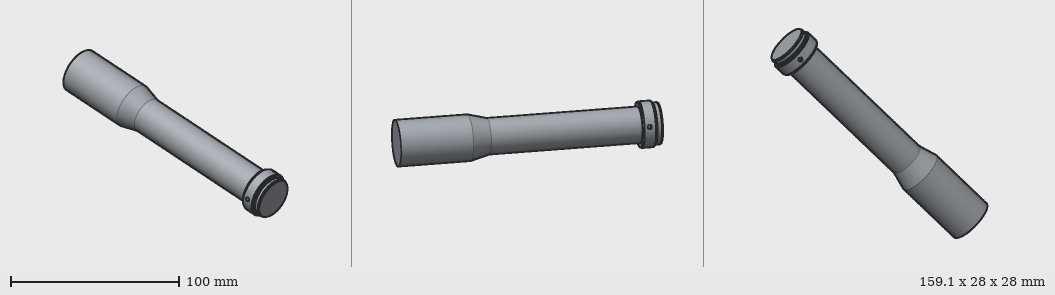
import cadquery as cq

total_length = 159.1
handle_length = 43.8
taper_length = 11.5
collar_start = 146.7
collar_width = 8.1
neck_width = 1.0

handle_radius = 14.0
tube_radius = 11.0
collar_radius = handle_radius
neck_radius = 12.3
end_ring_radius = 12.7

collar_front_chamfer = 1.0
collar_back_chamfer = 0.5
end_ring_chamfer = 1.0
chamfer_depth = 0.5

hole_diameter = 2.5
hole_count = 3
hole_start_angle = 45.0
hole_x = collar_start + collar_width / 2
hole_floor_radius = tube_radius

taper_end = handle_length + taper_length
collar_end = collar_start + collar_width
end_ring_start = collar_end + neck_width


def turned_body():
    """Half profile revolved about the X axis."""
    profile = [
        (0, 0),
        (0, handle_radius),
        (handle_length, handle_radius),
        (taper_end, tube_radius),
        (collar_start, tube_radius),
        (collar_start, collar_radius - chamfer_depth),
        (collar_start + collar_front_chamfer, collar_radius),
        (collar_end - collar_back_chamfer, collar_radius),
        (collar_end, collar_radius - chamfer_depth),
        (collar_end, neck_radius),
        (end_ring_start, neck_radius),
        (end_ring_start, end_ring_radius),
        (total_length - end_ring_chamfer, end_ring_radius),
        (total_length, end_ring_radius - chamfer_depth),
        (total_length, 0),
    ]
    return cq.Workplane("XY").polyline(profile).close().revolve(360, (0, 0, 0), (1, 0, 0))


def collar_hole(angle):
    """Blind radial hole cutter, turned about the X axis from +Y."""
    cutter = (
        cq.Workplane("XZ", origin=(hole_x, hole_floor_radius, 0))
        .circle(hole_diameter / 2)
        .extrude(-collar_radius)
    )
    return cutter.rotate((0, 0, 0), (1, 0, 0), angle)


result = turned_body()
for index in range(hole_count):
    result = result.cut(collar_hole(hole_start_angle + index * 360 / hole_count))